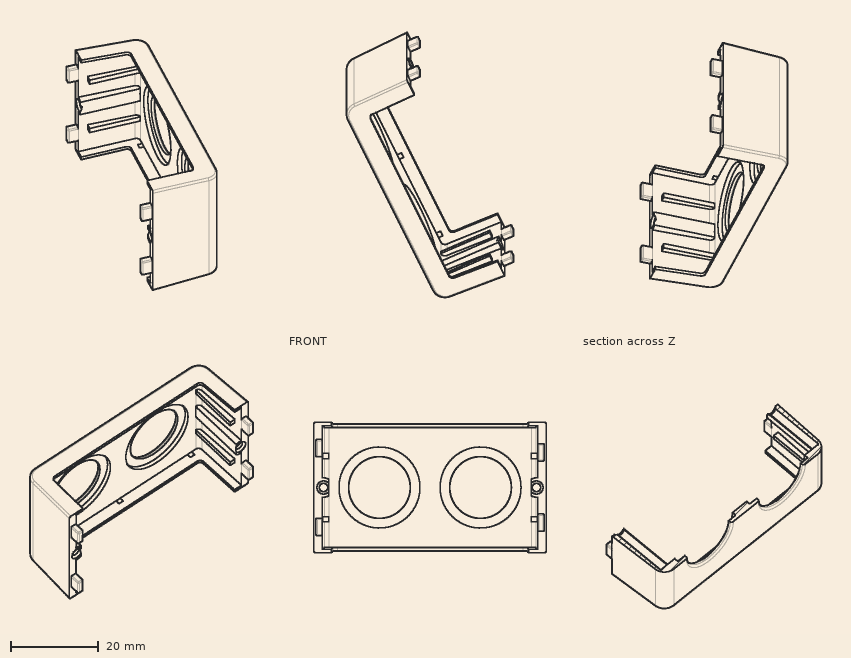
import cadquery as cq
import math

LENGTH = 53.0
HEIGHT = 29.75
TOTAL_DEPTH = 19.0
PEG_LENGTH = 2.5
DRAFT = 2.0
CORNER_RADIUS = 3.0
EDGE_RADIUS = 0.5

SIDE_WALL = 2.0
TOP_WALL = 0.8
PANEL = 2.0
INNER_RADIUS = 1.0

OPENING_EDGE = 4.05
BAND_DEPTH = 4.9

WINDOW_SPACING = 23.0
WINDOW_DIAMETER = 14.0
RECESS_DIAMETER = 18.45
RECESS_DEPTH = 1.0

RIB_WIDTH = 1.2
RIB_OFFSET = 7.2
RIB_LENGTH = 12.25
BOSS_DIAMETER = 4.4
BOSS_X = 24.2
SCREW_HOLE_DIAMETER = 1.9
COUNTERSINK_DIAMETER = 3.0

PEG_WIDTH = 1.5
PEG_HEIGHT = 4.0
LEFT_PEG_OFFSET = 8.95
RIGHT_PEG_OFFSET = 8.0
PEG_ROUNDING = 0.25

PAD_WIDTH = 1.2
PAD_LENGTH = 1.05
PAD_SPACING = 21.15

BACK_Y = TOTAL_DEPTH / 2
FRONT_Y = PEG_LENGTH - BACK_Y
PANEL_Y = BACK_Y - PANEL
SHELL_DEPTH = BACK_Y - FRONT_Y
CAVITY_DEPTH = PANEL_Y - FRONT_Y
SLOPE = math.tan(math.radians(DRAFT))

CORNER_RUN = INNER_RADIUS * math.tan(math.radians((90 - DRAFT) / 2))
FLOOR_END_X = LENGTH / 2 - SIDE_WALL - CAVITY_DEPTH * SLOPE - CORNER_RUN
FLOOR_END_Z = HEIGHT / 2 - TOP_WALL - CAVITY_DEPTH * SLOPE
MID_WALL_X = (LENGTH - SIDE_WALL) / 2


def front_plane(y):
    """XZ sketch plane at the given Y; positive extrusion goes towards the open front."""
    return cq.Workplane("XZ", origin=(0, y, 0))


def block(x_range, y_range, z_range):
    """Box between two X, two Y and two Z values."""
    (x0, x1), (y0, y1), (z0, z1) = x_range, y_range, z_range
    return cq.Workplane("XY").box(x1 - x0, y1 - y0, z1 - z0, centered=False).translate((x0, y0, z0))


def drafted_block(length, height, depth):
    """Block from the front face backwards, narrowing by the draft angle."""
    return front_plane(FRONT_Y).rect(length, height).extrude(-depth, taper=DRAFT)


def outer_body():
    body = drafted_block(LENGTH, HEIGHT, SHELL_DEPTH)
    body = body.edges(">Y").edges("<X or >X").fillet(CORNER_RADIUS)
    for wall in (">Z", "<Z"):
        body = body.faces(wall).edges("not <Y").fillet(EDGE_RADIUS)
    return body


def cavity():
    space = drafted_block(LENGTH - 2 * SIDE_WALL, HEIGHT - 2 * TOP_WALL, CAVITY_DEPTH)
    return space.edges(">Y").edges("<X or >X").fillet(INNER_RADIUS)


def wall_openings():
    """U-shaped cut through the top and bottom walls, open at the front."""
    band_y = BACK_Y - BAND_DEPTH
    front_x = LENGTH / 2 - OPENING_EDGE
    back_x = front_x - (band_y - FRONT_Y) * SLOPE
    outline = [(-front_x, FRONT_Y), (front_x, FRONT_Y), (back_x, band_y), (-back_x, band_y)]
    opening = cq.Workplane("XY").polyline(outline).close().extrude(HEIGHT / 2, both=True)
    return opening.edges("|Z and >Y").fillet(INNER_RADIUS)


def windows():
    """Round holes through the back panel, each with a wider recess on the inside."""
    centres = [(-WINDOW_SPACING / 2, 0), (WINDOW_SPACING / 2, 0)]
    holes = front_plane(PANEL_Y).pushPoints(centres).circle(WINDOW_DIAMETER / 2).extrude(-PANEL)
    recesses = front_plane(PANEL_Y).pushPoints(centres).circle(RECESS_DIAMETER / 2).extrude(-RECESS_DEPTH)
    return holes.union(recesses)


def right_ribs_and_boss():
    """Two ribs and a flat-sided boss on the inside of the +X wall."""
    wall = (FLOOR_END_X, MID_WALL_X)
    boss = front_plane(FRONT_Y).center(BOSS_X, 0).circle(BOSS_DIAMETER / 2).extrude(-CAVITY_DEPTH)
    supports = boss.intersect(block(wall, (FRONT_Y, PANEL_Y), (-BOSS_DIAMETER, BOSS_DIAMETER)))
    for z in (-RIB_OFFSET, RIB_OFFSET):
        z_range = (z - RIB_WIDTH / 2, z + RIB_WIDTH / 2)
        supports = supports.union(block(wall, (PANEL_Y - RIB_LENGTH, PANEL_Y), z_range))
    return supports


def screw_hole():
    """Blind hole along the +X boss down to the back panel, with a 45 degree countersink."""
    countersink_depth = (COUNTERSINK_DIAMETER - SCREW_HOLE_DIAMETER) / 2
    hole = front_plane(FRONT_Y).center(BOSS_X, 0).circle(SCREW_HOLE_DIAMETER / 2).extrude(-CAVITY_DEPTH)
    mouth = front_plane(FRONT_Y).center(BOSS_X, 0).circle(COUNTERSINK_DIAMETER / 2)
    return hole.union(mouth.extrude(-countersink_depth, taper=45))


def pad(x, side):
    """Level pad at the given X on the top (side = 1) or bottom (side = -1) wall."""
    z_range = sorted((side * FLOOR_END_Z, side * (HEIGHT / 2 - TOP_WALL)))
    return block((x - PAD_WIDTH / 2, x + PAD_WIDTH / 2), (PANEL_Y - PAD_LENGTH, PANEL_Y), z_range)


def peg(side, z):
    """Rounded peg in front of a side wall, flush with its inner face."""
    x = side * (LENGTH / 2 - SIDE_WALL + PEG_WIDTH / 2)
    body = front_plane(FRONT_Y).center(x, z).rect(PEG_WIDTH, PEG_HEIGHT).extrude(PEG_LENGTH)
    return body.edges("|Y or <Y").fillet(PEG_ROUNDING)


result = outer_body().cut(cavity()).cut(wall_openings()).cut(windows())
result = result.faces(">Y").edges("%CIRCLE").fillet(EDGE_RADIUS)

for feature in (right_ribs_and_boss(), right_ribs_and_boss().mirror("YZ")):
    result = result.union(feature)
for hole in (screw_hole(), screw_hole().mirror("YZ")):
    result = result.cut(hole)

for pad_x in (-PAD_SPACING, 0, PAD_SPACING):
    for pad_side in (-1, 1):
        result = result.union(pad(pad_x, pad_side))

for peg_side, peg_offset in ((-1, LEFT_PEG_OFFSET), (1, RIGHT_PEG_OFFSET)):
    for peg_z in (-peg_offset, peg_offset):
        result = result.union(peg(peg_side, peg_z))